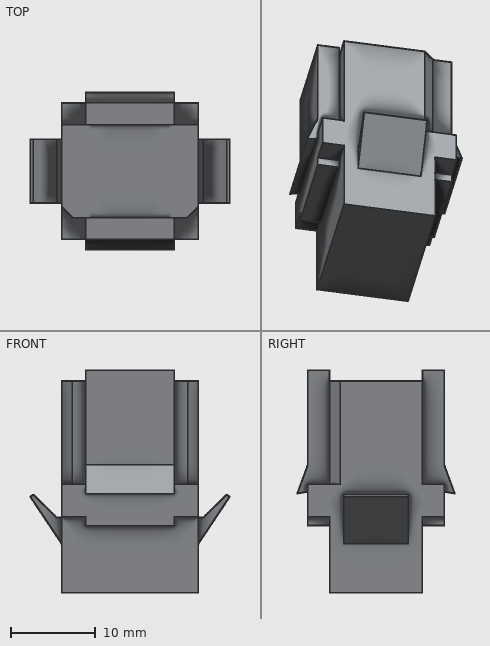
import cadquery as cq

body_width = 16.12
body_depth = 10.95
body_height = 25.03
corner_chamfer = 1.25

flange_depth = 16.12
flange_bottom = 9.0
flange_top = 12.8

bar_width = 10.46
bar_bottom = 7.95
total_height = 26.3
total_depth = 18.61
barb_top = 15.12
barb_tip = 11.73
barb_heel = 11.94

total_width = 23.55
wing_width = 7.57
wing_root_bottom = 5.78
wing_root_top = 8.9
wing_root_length = 0.6
wing_tip_bottom = 11.35
wing_tip_top = 11.62
wing_tip_thickness = 0.37


def box(width, depth, bottom, top):
    """Box centred on the Z axis between two heights."""
    return (
        cq.Workplane("XY", origin=(0, 0, bottom))
        .rect(width, depth)
        .extrude(top - bottom)
    )


def make_body():
    """Plain lower block and an upper block with its two front corners cut."""
    lower = box(body_width, body_depth, 0, flange_top)
    upper = box(body_width, body_depth, flange_top, body_height)
    upper = upper.faces("<Y").edges("|Z").chamfer(corner_chamfer)
    return lower.union(upper)


def make_latch():
    """Front latch bar with its barb; the profile starts inside the body, so the two fuse."""
    outer = -flange_depth / 2
    profile = [
        (0, bar_bottom),
        (outer, bar_bottom),
        (outer, barb_heel),
        (-total_depth / 2, barb_tip),
        (outer, barb_top),
        (outer, total_height),
        (-body_depth / 2, total_height),
        (-body_depth / 2, body_height),
        (0, body_height),
    ]
    return cq.Workplane("YZ").polyline(profile).close().extrude(bar_width / 2, both=True)


def make_wing():
    """Right-hand wing, tapering outwards and upwards to a thin tip."""
    side = body_width / 2
    tip = total_width / 2
    profile = [
        (0, wing_root_bottom),
        (side, wing_root_bottom),
        (tip, wing_tip_bottom),
        (tip - wing_tip_thickness, wing_tip_top),
        (side + wing_root_length, wing_root_top),
        (0, wing_root_top),
    ]
    return cq.Workplane("XZ").polyline(profile).close().extrude(wing_width / 2, both=True)


latch = make_latch()
wing = make_wing()

result = make_body().union(box(body_width, flange_depth, flange_bottom, flange_top))
result = result.union(latch).union(latch.mirror("XZ"))
result = result.union(wing).union(wing.mirror("YZ"))